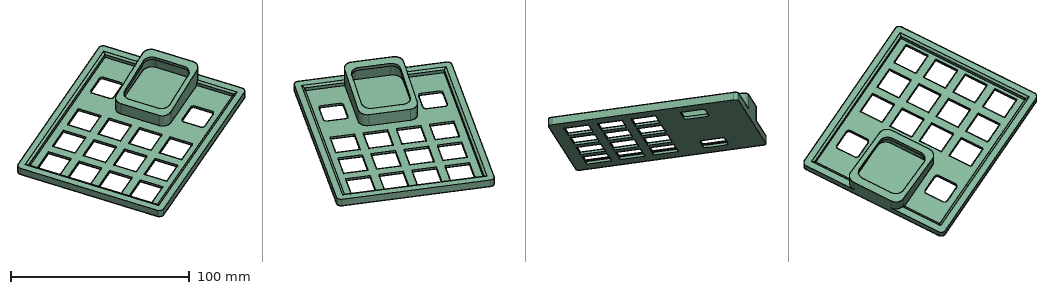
import cadquery as cq
import math

WIDTH = 90.5
LENGTH = 108.0
HEIGHT = 22.1
PLATE_TILT = 5.0
PLATE_THICKNESS = 4.4
PLATE_CORNER_RADIUS = 2.6

RIM_WIDTH = 3.8
RIM_WIDTH_BACK = 4.1
RIM_CHAMFER = 1.4
RIM_CHAMFER_DEPTH = 0.9
RECESS_DEPTH = 2.9
FLOOR_THICKNESS = PLATE_THICKNESS - RECESS_DEPTH

KEY_SIZE = 14.0
KEY_PITCH = 19.0
KEY_COLUMNS = 4
KEY_ROWS = 3
FRONT_ROW_Y = 14.4
ROUNDED_KEY_RADIUS = 1.7
LEFT_ROUNDED_KEY_Y = 80.9
RIGHT_ROUNDED_KEY_Y = 80.4

HOUSING_WIDTH = 33.9
HOUSING_LENGTH = 43.0
HOUSING_TOP_TILT = 10.0
HOUSING_CORNER_RADIUS = 5.1

MOUTH_BACK_WALL = 5.1
MOUTH_FRONT_WALL = 4.6
MOUTH_WIDTH = 28.1
MOUTH_DEPTH = 2.0
MOUTH_CORNER_RADIUS = 5.1
LIP_OVERHANG = 1.9
WELL_CORNER_RADIUS = 5.7

PLATE_SLOPE = math.tan(math.radians(PLATE_TILT))
PLATE_COS = math.cos(math.radians(PLATE_TILT))
HOUSING_SLOPE = math.tan(math.radians(HOUSING_TOP_TILT))
HOUSING_COS = math.cos(math.radians(HOUSING_TOP_TILT))
HOUSING_FRONT_Y = LENGTH - HOUSING_LENGTH


def plate_level(y, height):
    """Z at a given Y of the plane lying this far above the underside of the plate."""
    return y * PLATE_SLOPE + height / PLATE_COS


def housing_top(y):
    return HEIGHT - (LENGTH - y) * HOUSING_SLOPE


def wedge(width, front_y, back_y, bottom_height, front_z, back_z):
    """Block centred on X = 0 whose underside follows the slope of the plate."""
    profile = [
        (front_y, plate_level(front_y, bottom_height)),
        (back_y, plate_level(back_y, bottom_height)),
        (back_y, back_z),
        (front_y, front_z),
    ]
    return cq.Workplane("YZ").polyline(profile).close().extrude(width / 2, both=True)


def tilted_plane(x, y, z, tilt):
    """Workplane at a point, rising toward +Y by the tilt angle."""
    angle = math.radians(tilt)
    return cq.Workplane(cq.Plane((x, y, z), (1, 0, 0), (0, -math.sin(angle), math.cos(angle))))


def rounded_block(plane, width, length, depth, radius):
    """Block with rounded corners, sunk below a workplane."""
    outline = cq.Sketch().rect(width, length).vertices().fillet(radius)
    return plane.placeSketch(outline).extrude(-depth)


def make_plate():
    front_z = plate_level(0, PLATE_THICKNESS)
    back_z = plate_level(LENGTH, PLATE_THICKNESS)
    plate = wedge(WIDTH, 0, LENGTH, 0, front_z, back_z)
    return plate.edges("|Z").fillet(PLATE_CORNER_RADIUS)


def make_recess():
    centre_y = (RIM_WIDTH + LENGTH - RIM_WIDTH_BACK) / 2
    rim_width = WIDTH - 2 * RIM_WIDTH
    rim_length = (LENGTH - RIM_WIDTH - RIM_WIDTH_BACK) / PLATE_COS
    floor_width = rim_width - 2 * RIM_CHAMFER
    floor_length = rim_length - 2 * RIM_CHAMFER
    top = tilted_plane(0, centre_y, plate_level(centre_y, PLATE_THICKNESS), PLATE_TILT)
    chamfer = (
        top.rect(rim_width, rim_length)
        .workplane(offset=-RIM_CHAMFER_DEPTH)
        .rect(floor_width, floor_length)
        .loft(ruled=True)
    )
    return chamfer.union(top.rect(floor_width, floor_length).extrude(-RECESS_DEPTH))


def make_housing():
    front_z = housing_top(HOUSING_FRONT_Y)
    housing = wedge(HOUSING_WIDTH, HOUSING_FRONT_Y, LENGTH, 0, front_z, HEIGHT)
    return housing.edges("|Z").fillet(HOUSING_CORNER_RADIUS)


def make_pocket():
    front_y = HOUSING_FRONT_Y + MOUTH_FRONT_WALL
    back_y = LENGTH - MOUTH_BACK_WALL
    centre_y = (front_y + back_y) / 2
    length = (back_y - front_y) / HOUSING_COS
    top = tilted_plane(0, centre_y, housing_top(centre_y), HOUSING_TOP_TILT)
    mouth = rounded_block(top, MOUTH_WIDTH, length, MOUTH_DEPTH, MOUTH_CORNER_RADIUS)
    mouth_floor = top.workplane(offset=-MOUTH_DEPTH)
    well_width = MOUTH_WIDTH + 2 * LIP_OVERHANG
    well_length = length + 2 * LIP_OVERHANG
    well = rounded_block(mouth_floor, well_width, well_length, HEIGHT, WELL_CORNER_RADIUS)
    space_above_floor = wedge(WIDTH, 0, LENGTH, FLOOR_THICKNESS, HEIGHT, HEIGHT)
    return mouth.union(well).intersect(space_above_floor)


def key_opening(x, y):
    """Square opening through the recess floor, centred on the floor surface."""
    floor = tilted_plane(x, y, plate_level(y, FLOOR_THICKNESS), PLATE_TILT)
    return floor.rect(KEY_SIZE, KEY_SIZE).extrude(PLATE_THICKNESS, both=True)


def rounded_key_opening(x, y):
    across_plate = cq.Vector(0, -PLATE_SLOPE, 1)
    corners = cq.selectors.ParallelDirSelector(across_plate)
    return key_opening(x, y).edges(corners).fillet(ROUNDED_KEY_RADIUS)


column_x = [(column - (KEY_COLUMNS - 1) / 2) * KEY_PITCH for column in range(KEY_COLUMNS)]
row_y = [FRONT_ROW_Y + row * KEY_PITCH for row in range(KEY_ROWS)]

result = make_plate().cut(make_recess()).union(make_housing()).cut(make_pocket())
for x in column_x:
    for y in row_y:
        result = result.cut(key_opening(x, y))
result = result.cut(rounded_key_opening(column_x[0], LEFT_ROUNDED_KEY_Y))
result = result.cut(rounded_key_opening(column_x[-1], RIGHT_ROUNDED_KEY_Y))